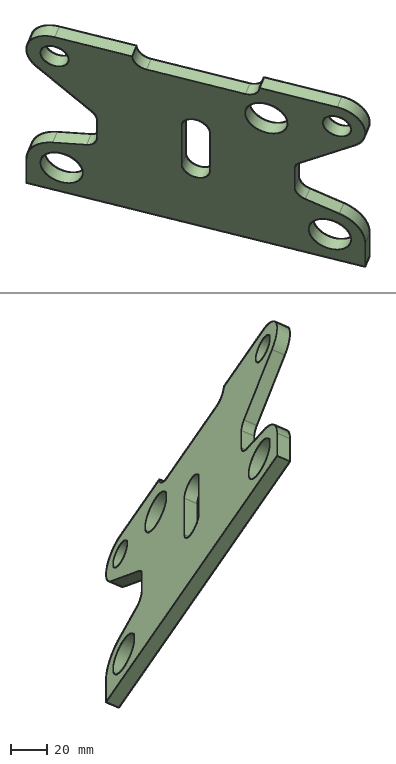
import cadquery as cq
import math

width = 197.6
step = width / 24
height = 16 * step
thickness = step
half_width = width / 2

upper_ear_radius = 2 * step
lower_ear_radius = 2.5 * step
upper_slope = 40.0
lower_slope = 15.0
waist_half_width = 7 * step
corner_radius = step
notch_half_width = 4.5 * step
notch_depth = step

upper_hole_diameter = 2 * step
large_hole_diameter = 3 * step
extra_hole_center = (5 * step, 13 * step)
slot_width = 2 * step
slot_length = 6 * step
slot_center_z = 8 * step

upper_ear = (half_width - upper_ear_radius, height - upper_ear_radius)
lower_ear = (half_width - lower_ear_radius, lower_ear_radius)


def polar(center, radius, degrees):
    """Point at an angle on a circle in the XZ plane."""
    angle = math.radians(degrees)
    return (center[0] + radius * math.cos(angle), center[1] + radius * math.sin(angle))


def waist_fillet_z(ear, ear_radius, slope, side):
    """Height of the waist fillet center; side is +1 for the upper ear, -1 for the lower."""
    angle = math.radians(slope)
    run = ear[0] - (waist_half_width + corner_radius)
    offset = (ear_radius + corner_radius) / math.cos(angle)
    return ear[1] - side * (run * math.tan(angle) + offset)


def half_plate():
    """Right half of the plate, from the center plane to the +X ears."""
    fillet_x = waist_half_width + corner_radius
    upper_fillet = (fillet_x, waist_fillet_z(upper_ear, upper_ear_radius, upper_slope, 1))
    lower_fillet = (fillet_x, waist_fillet_z(lower_ear, lower_ear_radius, lower_slope, -1))
    notch_fillet = (notch_half_width - corner_radius, height - notch_depth + corner_radius)

    upper_tangent = upper_slope - 90
    lower_tangent = 90 - lower_slope

    def arc(sketch, center, radius, start, end):
        return sketch.threePointArc(
            polar(center, radius, (start + end) / 2), polar(center, radius, end)
        )

    outline = cq.Workplane("XZ").moveTo(0, 0).lineTo(half_width, 0).lineTo(half_width, lower_ear[1])
    outline = arc(outline, lower_ear, lower_ear_radius, 0, lower_tangent)
    outline = outline.lineTo(*polar(lower_fillet, corner_radius, lower_tangent + 180))
    outline = arc(outline, lower_fillet, corner_radius, lower_tangent + 180, 180)
    outline = outline.lineTo(waist_half_width, upper_fillet[1])
    outline = arc(outline, upper_fillet, corner_radius, 180, upper_tangent + 180)
    outline = outline.lineTo(*polar(upper_ear, upper_ear_radius, upper_tangent))
    outline = arc(outline, upper_ear, upper_ear_radius, upper_tangent, 90)
    outline = outline.lineTo(notch_half_width, height)
    outline = arc(outline, notch_fillet, corner_radius, 0, -90)
    outline = outline.lineTo(0, height - notch_depth).close()
    return outline.extrude(thickness)


def through_holes(centers, diameter):
    """Cylinders that cut round holes through the plate."""
    return cq.Workplane("XZ").pushPoints(centers).circle(diameter / 2).extrude(thickness)


def mirrored_pair(center):
    return [(-center[0], center[1]), center]


right_half = half_plate()
plate = right_half.union(right_half.mirror("YZ")).clean()

slot = (
    cq.Workplane("XZ")
    .center(0, slot_center_z)
    .slot2D(slot_length, slot_width, 90)
    .extrude(thickness)
)

result = (
    plate
    .cut(through_holes(mirrored_pair(upper_ear), upper_hole_diameter))
    .cut(through_holes(mirrored_pair(lower_ear) + [extra_hole_center], large_hole_diameter))
    .cut(slot)
)